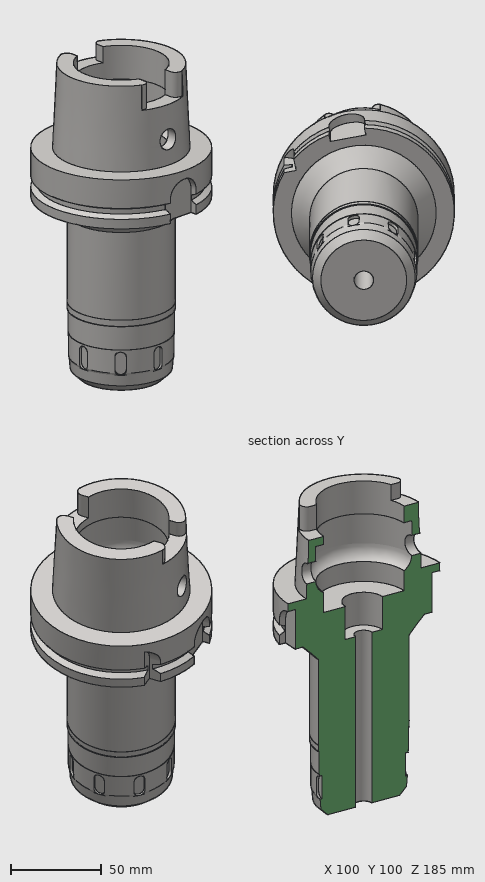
import cadquery as cq
import math

total_height = 185.0
flange_top = 135.0
flange_bottom = 106.0
neck_bottom = 96.0
band_top = 44.0
band_bottom = 40.1
nut_top = 26.0
nut_step_top = 12.2
nut_step_bottom = 11.0
nose_chamfer_top = 4.5

taper_top_dia = 71.5
taper_base_dia = 76.0
flange_dia = 100.0
neck_top_dia = 80.0
body_dia = 60.0
band_dia = 60.1
collar_dia = 59.0
nut_dia = 58.6
nose_top_dia = 57.7
nose_bottom_dia = 56.6
nose_tip_dia = 47.4

groove_center = 114.9
groove_floor_dia = 92.9
groove_floor_width = 3.0
groove_mouth_width = 6.5

mouth_dia = 53.0
mouth_depth = 20.0
clamp_dia = 62.9
clamp_depth = 50.3
clamp_round = 10.0
bore_depth = 61.0
tube_seat_dia = 24.2
tube_seat_depth = 20.0
coolant_dia = 10.7
cross_hole_dia = 12.0
cross_hole_height = 150.0

driver_width = 20.0
driver_depth_left = 9.6
driver_depth_right = 14.8
driver_corner_radius = 3.9

flange_slot_width = 20.0
flange_slot_margin = 5.0
key_floor = 45.0
notch_floor = 31.8

wrench_slot_count = 8
wrench_slot_width = 6.3
wrench_slot_top = 24.8
wrench_slot_bottom = 11.0
wrench_floor_radius = 27.5


def make_outer_body():
    """Solid of revolution about Z, listed as (diameter, height) from the nose up."""
    steps = [
        (0, 0),
        (nose_tip_dia, 0),
        (nose_bottom_dia, nose_chamfer_top),
        (nose_top_dia, nut_step_bottom),
        (nut_dia, nut_step_top),
        (nut_dia, nut_top),
        (collar_dia, nut_top),
        (collar_dia, band_bottom),
        (band_dia, band_bottom),
        (band_dia, band_top),
        (body_dia, band_top),
        (body_dia, neck_bottom),
        (neck_top_dia, flange_bottom),
        (flange_dia, flange_bottom),
        (flange_dia, groove_center - groove_mouth_width / 2),
        (groove_floor_dia, groove_center - groove_floor_width / 2),
        (groove_floor_dia, groove_center + groove_floor_width / 2),
        (flange_dia, groove_center + groove_mouth_width / 2),
        (flange_dia, flange_top),
        (taper_base_dia, flange_top),
        (taper_top_dia, total_height),
        (0, total_height),
    ]
    outline = [(-diameter / 2, height) for diameter, height in steps]
    return cq.Workplane("YZ").polyline(outline).close().revolve(360, (0, 0), (0, 1))


def disc(diameter, bottom, top):
    """Cylinder about Z between two heights."""
    return cq.Workplane("XY").workplane(offset=bottom).circle(diameter / 2).extrude(top - bottom)


def make_bores():
    """Stepped and undercut bore from the taper end, with the coolant hole running through to the nose."""
    bore_floor = total_height - bore_depth
    mouth = disc(mouth_dia, bore_floor, total_height)
    clamp_groove = disc(clamp_dia, total_height - clamp_depth, total_height - mouth_depth)
    clamp_groove = clamp_groove.faces("<Z").edges().fillet(clamp_round)
    tube_seat = disc(tube_seat_dia, bore_floor - tube_seat_depth, bore_floor)
    coolant = disc(coolant_dia, 0, bore_floor)
    return mouth.union(clamp_groove).union(tube_seat).union(coolant)


def make_cross_hole():
    """Radial hole along X through both walls of the taper."""
    return (
        cq.Workplane("YZ")
        .center(0, cross_hole_height)
        .circle(cross_hole_dia / 2)
        .extrude(flange_dia / 2, both=True)
    )


def make_driver_slot(side, depth):
    """Slot in the taper end toward side * X, flaring outward with rounded corners."""
    half_width = driver_width / 2
    outer_radius = taper_top_dia / 2
    round_y = half_width + driver_corner_radius
    round_center_radius = outer_radius - driver_corner_radius
    round_x = math.sqrt(round_center_radius**2 - round_y**2)
    rim_x = round_x * outer_radius / round_center_radius
    rim_y = round_y * outer_radius / round_center_radius
    mid_angle = (math.atan2(round_y, round_x) - math.pi / 2) / 2
    mid_x = round_x + driver_corner_radius * math.cos(mid_angle)
    mid_y = round_y + driver_corner_radius * math.sin(mid_angle)
    far_x = flange_dia / 2
    far_y = rim_y * far_x / rim_x
    return (
        cq.Workplane("XY")
        .workplane(offset=total_height - depth)
        .moveTo(0, -half_width)
        .lineTo(side * round_x, -half_width)
        .threePointArc((side * mid_x, -mid_y), (side * rim_x, -rim_y))
        .lineTo(side * far_x, -far_y)
        .lineTo(side * far_x, far_y)
        .lineTo(side * rim_x, rim_y)
        .threePointArc((side * mid_x, mid_y), (side * round_x, half_width))
        .lineTo(0, half_width)
        .close()
        .extrude(depth)
    )


def make_flange_slot(center_y, floor_x, side):
    """Slot with a round upper end, open below the flange, cut along X to a floor at side * floor_x."""
    radius = flange_slot_width / 2
    slot_top = flange_top - flange_slot_margin
    arc_center = slot_top - radius
    return (
        cq.Workplane("YZ")
        .workplane(offset=side * floor_x)
        .moveTo(center_y - radius, flange_bottom)
        .lineTo(center_y - radius, arc_center)
        .threePointArc((center_y, slot_top), (center_y + radius, arc_center))
        .lineTo(center_y + radius, flange_bottom)
        .close()
        .extrude(side * flange_dia / 2)
    )


def make_wrench_slots():
    """Ring of upright round-ended slots around the nut."""
    slot_height = wrench_slot_top - wrench_slot_bottom
    slot = (
        cq.Workplane("YZ")
        .workplane(offset=wrench_floor_radius)
        .center(0, (wrench_slot_top + wrench_slot_bottom) / 2)
        .slot2D(slot_height, wrench_slot_width, 90)
        .extrude(nut_dia / 2)
    )
    slots = cq.Workplane("XY")
    for index in range(wrench_slot_count):
        slots = slots.add(slot.rotate((0, 0, 0), (0, 0, 1), index * 360 / wrench_slot_count))
    return slots.combine()


result = make_outer_body().cut(make_bores()).cut(make_cross_hole())
result = result.cut(make_driver_slot(-1, driver_depth_left))
result = result.cut(make_driver_slot(1, driver_depth_right))
for key_side in (-1, 1):
    result = result.cut(make_flange_slot(0, key_floor, key_side))
result = result.cut(make_flange_slot(notch_floor + flange_slot_width / 2, notch_floor, -1))
result = result.cut(make_wrench_slots())